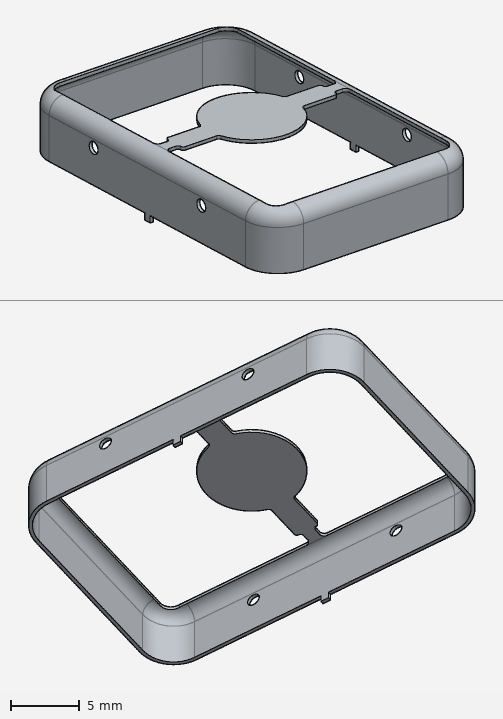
import cadquery as cq

length = 28.8
width = 19.4
total_height = 5.6
tab_height = 0.58
frame_height = total_height - tab_height
corner_radius = 3.0
rim_radius = 1.3
opening_corner_radius = 1.0
wall = 0.3

hole_diameter = 1.0
hole_offset = 6.25
hole_depth_below_top = 2.0

tab_width = 0.65

disc_radius = 4.0
arm_half_width = 1.0
neck_half_width = 0.52
flare_radius = 0.4
neck_straight = 0.55
shoulder_radius = (arm_half_width - neck_half_width) / 2
disc_fillet = 0.3
rim_overlap = 0.15


def domed_block(inset):
    """Rounded block with a rolled top edge, inset from the frame's outer skin."""
    return (
        cq.Workplane("XY")
        .box(length - 2 * inset, width - 2 * inset, frame_height - inset, centered=(True, True, False))
        .edges("|Z")
        .fillet(corner_radius - inset)
        .faces(">Z")
        .edges()
        .fillet(rim_radius - inset)
    )


def make_frame():
    opening = (
        cq.Workplane("XY")
        .rect(length - 2 * rim_radius, width - 2 * rim_radius)
        .extrude(frame_height)
        .edges("|Z")
        .fillet(opening_corner_radius)
    )
    holes = (
        cq.Workplane("XZ", origin=(0, 0, frame_height - hole_depth_below_top))
        .pushPoints([(-hole_offset, 0), (hole_offset, 0)])
        .circle(hole_diameter / 2)
        .extrude(width, both=True)
    )
    return domed_block(0).cut(domed_block(wall)).cut(opening).cut(holes)


def make_arm():
    """Arm from the disc centre to the +Y rim, flared where it meets the rim."""
    rim_y = width / 2 - rim_radius
    neck_outer_y = rim_y - flare_radius
    neck_inner_y = neck_outer_y - neck_straight
    shoulder_mid_x = neck_half_width + shoulder_radius
    shoulder_mid_y = neck_inner_y - shoulder_radius
    shoulder_end_y = shoulder_mid_y - shoulder_radius
    flare_x = neck_half_width + flare_radius
    half = (
        cq.Workplane("XY", origin=(0, 0, frame_height - wall))
        .moveTo(0, 0)
        .lineTo(arm_half_width, 0)
        .lineTo(arm_half_width, shoulder_end_y)
        .radiusArc((shoulder_mid_x, shoulder_mid_y), -shoulder_radius)
        .radiusArc((neck_half_width, neck_inner_y), shoulder_radius)
        .lineTo(neck_half_width, neck_outer_y)
        .radiusArc((flare_x, rim_y), flare_radius)
        .lineTo(flare_x, rim_y + rim_overlap)
        .lineTo(0, rim_y + rim_overlap)
        .close()
        .extrude(wall)
    )
    return half.union(half.mirror("YZ")).clean()


def make_web():
    disc = cq.Workplane("XY", origin=(0, 0, frame_height - wall)).circle(disc_radius).extrude(wall)
    arm = make_arm()
    web = disc.union(arm).union(arm.mirror("XZ")).clean()
    joint_y = (disc_radius**2 - arm_half_width**2) ** 0.5
    joint_reach = 0.03
    joints = cq.selectors.BoxSelector(
        (-arm_half_width - joint_reach, -joint_y - joint_reach, 0),
        (arm_half_width + joint_reach, joint_y + joint_reach, frame_height),
    )
    web = web.edges("|Z").edges(joints).fillet(disc_fillet)
    return web.intersect(domed_block(0))


def make_tabs():
    tab_y = (width - wall) / 2
    return (
        cq.Workplane("XY", origin=(0, 0, -tab_height))
        .pushPoints([(0, -tab_y), (0, tab_y)])
        .rect(tab_width, wall)
        .extrude(tab_height)
    )


result = make_frame().union(make_web()).union(make_tabs())